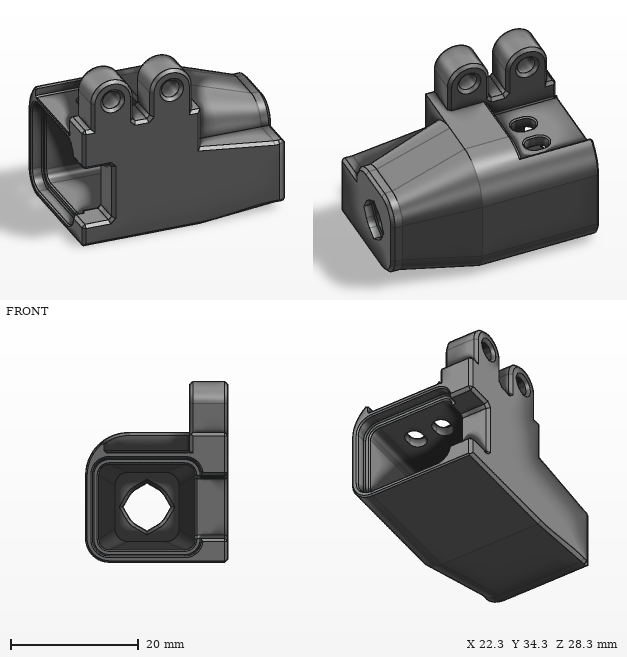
import cadquery as cq
import math


LENGTH = 34.3
LEFT_X = -9.6
RIGHT_X = 12.65
BOTTOM_Z = -8.65
TOP_Z = 11.65
TOP_RADIUS = 6.75
BOTTOM_RADIUS = 3.75
EDGE_CHAMFER = 0.5
FINE_CHAMFER = 0.25

TAPER_START_Y = 20.0
TAPER_END_Y = 32.5
TAIL_HALF_WIDTH = 7.0
TAIL_HALF_HEIGHT = 7.4
TAIL_RADIUS = 4.0

BORE_HALF_WIDTH = 7.55
BORE_HALF_HEIGHT = 6.7
BORE_RADIUS = 1.68
MOUTH_MARGIN = 1.0
MOUTH_DEPTH = 2.0
FUNNEL_HALF_WIDTH = 5.0
FUNNEL_HALF_HEIGHT = 5.42
FUNNEL_RADIUS = 2.05
HOLE_RADIUS = 3.25
HOLE_POINT_ANGLE = 120

SLOT_HALF_HEIGHT = 4.9
SLOT_DEPTH = 5.0

POCKET_LEFT_X = -6.7
POCKET_BACK_Y = 12.0
POCKET_FLOOR_Z = 8.58
POCKET_RIM_CHAMFER = 0.48
POCKET_FRONT_CHAMFER = 0.15
WINDOW_X = 2.5
WINDOW_Y = 7.5
WINDOW_DIAMETER = 3.0
WINDOW_LENGTH = 4.0

LUG_LEFT_X = 6.65
LUG_AXIS_Z = 16.15
LUG_RADIUS = 3.5
LUG_FRONT_Y = 5.0
LUG_BACK_Y = 15.0
LUG_HOLE_DIAMETER = 3.0

ABOVE_TOP_Z = TOP_Z + 0.35
TOLERANCE = 0.005


def near(a, b):
    return abs(a - b) < TOLERANCE


def chamfer_edges(body, size, picked):
    """Chamfer every edge whose bounding box satisfies picked."""
    edges = [edge for edge in body.edges().vals() if picked(edge.BoundingBox())]
    return body.newObject(edges).chamfer(size)


def section(y):
    """Workplane across the bore at depth y: local x = +X, local y = +Z."""
    return cq.Workplane("XZ", origin=(0, y, 0))


def box(x0, x1, y0, y1, z0, z1):
    return cq.Workplane("XY", origin=(x0, y0, z0)).box(x1 - x0, y1 - y0, z1 - z0, centered=False)


def rounded_outline(plane, left, right, bottom, top, top_radius, bottom_radius):
    """Rectangle with one radius for its upper corners and one for its lower corners."""
    arc_inset = 1 - math.sqrt(0.5)
    top_inset = arc_inset * top_radius
    bottom_inset = arc_inset * bottom_radius
    return (
        plane.moveTo(left + top_radius, top)
        .lineTo(right - top_radius, top)
        .threePointArc((right - top_inset, top - top_inset), (right, top - top_radius))
        .lineTo(right, bottom + bottom_radius)
        .threePointArc((right - bottom_inset, bottom + bottom_inset), (right - bottom_radius, bottom))
        .lineTo(left + bottom_radius, bottom)
        .threePointArc((left + bottom_inset, bottom + bottom_inset), (left, bottom + bottom_radius))
        .lineTo(left, top - top_radius)
        .threePointArc((left + top_inset, top - top_inset), (left + top_radius, top))
        .close()
    )


def centred_outline(y, half_width, half_height, radius):
    return rounded_outline(
        section(y), -half_width, half_width, -half_height, half_height, radius, radius
    )


def shell_outline(y):
    return rounded_outline(
        section(y), LEFT_X, -LEFT_X, BOTTOM_Z, TOP_Z, TOP_RADIUS, BOTTOM_RADIUS
    )


def ruled_loft(first, second):
    wires = [first.wires().val(), second.wires().val()]
    return cq.Workplane(cq.Solid.makeLoft(wires, True))


def make_front():
    """Prism with a rounded left side and a square right side."""
    shell = shell_outline(0).extrude(-TAPER_START_Y)
    return shell.union(box(0, RIGHT_X, 0, TAPER_START_Y, BOTTOM_Z, TOP_Z)).clean()


def make_tail():
    """Tapered rounded body with a lower, flat-sided block along its +X side."""

    def tail_outline():
        return centred_outline(TAPER_END_Y, TAIL_HALF_WIDTH, TAIL_HALF_HEIGHT, TAIL_RADIUS)

    def block_outline(y, bottom, top):
        corners = [(0, bottom), (RIGHT_X, bottom), (RIGHT_X, top), (0, top)]
        return section(y).polyline(corners).close()

    tail_block = (-TAIL_HALF_HEIGHT, TAIL_HALF_HEIGHT - TAIL_RADIUS)
    flange_length = LENGTH - TAPER_END_Y
    taper = ruled_loft(shell_outline(TAPER_START_Y), tail_outline())
    block_taper = ruled_loft(
        block_outline(TAPER_START_Y, BOTTOM_Z, TOP_Z - TOP_RADIUS),
        block_outline(TAPER_END_Y, *tail_block),
    )
    block_flange = block_outline(TAPER_END_Y, *tail_block).extrude(-flange_length)
    flange = tail_outline().extrude(-flange_length).union(block_flange)
    flange = flange.faces(">Y").chamfer(EDGE_CHAMFER)
    return taper.union(block_taper).union(flange)


def is_pocket_rim(b):
    """Upper rim along the pocket's back wall and left wall."""
    on_back_wall = near(b.ymin, POCKET_BACK_Y) and b.zmin > POCKET_FLOOR_Z + EDGE_CHAMFER
    on_left_wall = near(b.xmax, POCKET_LEFT_X) and near(b.xmin, POCKET_LEFT_X)
    left_top = on_left_wall and near(b.zmin, b.zmax) and b.zmin > POCKET_FLOOR_Z + EDGE_CHAMFER
    return (on_back_wall and near(b.ymax, POCKET_BACK_Y)) or left_top


def cut_pocket(body):
    """Sink the top pocket, with a coved floor and bevelled rims."""
    cavity = (
        box(POCKET_LEFT_X, LUG_LEFT_X, 0, POCKET_BACK_Y, POCKET_FLOOR_Z, ABOVE_TOP_Z)
        .faces("<Z")
        .edges("not <Y")
        .chamfer(FINE_CHAMFER)
    )
    bevel_relief = box(
        LUG_LEFT_X, LUG_LEFT_X + EDGE_CHAMFER, 0, POCKET_BACK_Y, POCKET_FLOOR_Z, ABOVE_TOP_Z
    )
    body = body.cut(cavity.union(bevel_relief))
    return chamfer_edges(body, POCKET_RIM_CHAMFER, is_pocket_rim)


def make_corner_cove():
    """Upright cove between the pocket's back wall and the lug rail, sloped to meet the back rim."""
    front_y = POCKET_BACK_Y - FINE_CHAMFER
    left_x = LUG_LEFT_X - FINE_CHAMFER
    rim_z = TOP_Z - POCKET_RIM_CHAMFER
    upright = (
        cq.Workplane("XY", origin=(0, 0, POCKET_FLOOR_Z))
        .polyline([(LUG_LEFT_X, POCKET_BACK_Y), (left_x, POCKET_BACK_Y), (LUG_LEFT_X, front_y)])
        .close()
        .extrude(rim_z - POCKET_FLOOR_Z)
    )
    above_slope = (
        cq.Workplane("YZ", origin=(left_x, 0, 0))
        .polyline([(POCKET_BACK_Y, rim_z), (front_y, rim_z), (front_y, rim_z - FINE_CHAMFER)])
        .close()
        .extrude(FINE_CHAMFER)
    )
    return upright.cut(above_slope)


def make_lugs():
    """Both lugs and the rail that carries them, bevelled along the left face."""
    front_start_y = LUG_FRONT_Y - LUG_RADIUS
    gap_start_y = LUG_FRONT_Y + LUG_RADIUS
    gap_end_y = LUG_BACK_Y - LUG_RADIUS
    back_end_y = LUG_BACK_Y + LUG_RADIUS
    crown_z = LUG_AXIS_Z + LUG_RADIUS
    gusset_z = TOP_Z + EDGE_CHAMFER
    rail = (
        cq.Workplane("YZ", origin=(LUG_LEFT_X, 0, 0))
        .moveTo(0, POCKET_FLOOR_Z)
        .lineTo(0, TOP_Z)
        .lineTo(front_start_y, TOP_Z)
        .lineTo(front_start_y, LUG_AXIS_Z)
        .threePointArc((LUG_FRONT_Y, crown_z), (gap_start_y, LUG_AXIS_Z))
        .lineTo(gap_start_y, gusset_z)
        .lineTo(gap_start_y + EDGE_CHAMFER, TOP_Z)
        .lineTo(gap_end_y - EDGE_CHAMFER, TOP_Z)
        .lineTo(gap_end_y, gusset_z)
        .lineTo(gap_end_y, LUG_AXIS_Z)
        .threePointArc((LUG_BACK_Y, crown_z), (back_end_y, LUG_AXIS_Z))
        .lineTo(back_end_y, POCKET_FLOOR_Z)
        .close()
        .extrude(RIGHT_X - LUG_LEFT_X)
    )
    return rail.faces("<X").edges("not <Z").chamfer(EDGE_CHAMFER)


def drill_lugs(body):
    """Cross holes through both lugs, countersunk at both ends."""
    radius = LUG_HOLE_DIAMETER / 2
    hole = cq.Workplane("YZ", origin=(LUG_LEFT_X, 0, 0)).circle(radius).extrude(RIGHT_X - LUG_LEFT_X)
    for end_x, inward in ((LUG_LEFT_X, 1), (RIGHT_X, -1)):
        countersink = cq.Solid.makeCone(
            radius + EDGE_CHAMFER,
            radius,
            EDGE_CHAMFER,
            cq.Vector(end_x, 0, 0),
            cq.Vector(inward, 0, 0),
        )
        hole = hole.union(cq.Workplane(countersink))
    for y in (LUG_FRONT_Y, LUG_BACK_Y):
        body = body.cut(hole.translate((0, y, LUG_AXIS_Z)))
    return body


def slot_outline(x):
    """Outline of the side slot at X = x, open at the front, with bevelled back corners."""
    corner_y = SLOT_DEPTH - EDGE_CHAMFER
    corner_z = SLOT_HALF_HEIGHT - EDGE_CHAMFER
    corners = [
        (0, SLOT_HALF_HEIGHT),
        (corner_y, SLOT_HALF_HEIGHT),
        (SLOT_DEPTH, corner_z),
        (SLOT_DEPTH, -corner_z),
        (corner_y, -SLOT_HALF_HEIGHT),
        (0, -SLOT_HALF_HEIGHT),
    ]
    return cq.Workplane("YZ", origin=(x, 0, 0)).polyline(corners).close()


def cut_side_slot(body):
    return body.cut(slot_outline(BORE_HALF_WIDTH).extrude(RIGHT_X - BORE_HALF_WIDTH))


def cut_slot_lip(body):
    """Bevel the rim where the side slot breaks into the bore."""
    lip = ruled_loft(
        slot_outline(BORE_HALF_WIDTH).offset2D(FINE_CHAMFER, "intersection"),
        slot_outline(BORE_HALF_WIDTH + FINE_CHAMFER),
    )
    return body.cut(lip)


def is_right_bevel(b):
    """Outline of the +X end, the slot's front rims and the rail's front rim."""
    on_right = near(b.xmin, RIGHT_X)
    front_level = near(b.ymax, 0) and near(b.zmin, b.zmax)
    slot_rim = near(abs(b.zmin), SLOT_HALF_HEIGHT)
    rail_rim = near(b.zmin, TOP_Z) and b.xmin > LUG_LEFT_X
    return on_right or (front_level and (slot_rim or rail_rim))


def is_shell_rim(b):
    """Front rim of the shell, from the pocket's left wall down and along the bottom."""
    left_side = b.xmax < POCKET_LEFT_X + TOLERANCE and not near(b.xmin, POCKET_LEFT_X)
    bottom = near(b.zmin, BOTTOM_Z) and b.xmin < 0
    return near(b.ymax, 0) and (left_side or bottom)


def is_floor_rim(b):
    return near(b.ymax, 0) and near(b.zmin, POCKET_FLOOR_Z) and near(b.zmax, POCKET_FLOOR_Z)


def hole_outline(y, radius):
    """Circle drawn out to a straight-sided point on each of its four sides."""

    def polar(distance, degrees):
        angle = math.radians(degrees)
        return (distance * math.cos(angle), distance * math.sin(angle))

    tangent_angle = 90 - HOLE_POINT_ANGLE / 2
    tip = radius / math.cos(math.radians(tangent_angle))
    outline = section(y).moveTo(*polar(tip, 0))
    for start in (0, 90, 180, 270):
        outline = (
            outline.lineTo(*polar(radius, start + tangent_angle))
            .threePointArc(polar(radius, start + 45), polar(radius, start + 90 - tangent_angle))
            .lineTo(*polar(tip, start + 90))
        )
    return outline.close()


def cut_bore(body):
    """Recessed mouth, straight bore, funnel and four-pointed tail hole."""

    def bore_outline(y, growth):
        return centred_outline(
            y, BORE_HALF_WIDTH + growth, BORE_HALF_HEIGHT + growth, BORE_RADIUS + growth
        )

    recess = bore_outline(0, MOUTH_MARGIN).extrude(-MOUTH_DEPTH).faces(">Y").chamfer(FINE_CHAMFER)
    recess_lip = ruled_loft(
        bore_outline(0, MOUTH_MARGIN + FINE_CHAMFER), bore_outline(FINE_CHAMFER, MOUTH_MARGIN)
    )
    bore = bore_outline(0, 0).extrude(-TAPER_START_Y)
    bore_lip = ruled_loft(
        bore_outline(MOUTH_DEPTH, FINE_CHAMFER), bore_outline(MOUTH_DEPTH + FINE_CHAMFER, 0)
    )
    funnel = ruled_loft(
        bore_outline(TAPER_START_Y, 0),
        centred_outline(TAPER_END_Y, FUNNEL_HALF_WIDTH, FUNNEL_HALF_HEIGHT, FUNNEL_RADIUS),
    )
    hole = hole_outline(TAPER_END_Y, HOLE_RADIUS).extrude(TAPER_END_Y - LENGTH)
    hole_lip = ruled_loft(
        hole_outline(TAPER_END_Y, HOLE_RADIUS + EDGE_CHAMFER),
        hole_outline(TAPER_END_Y + EDGE_CHAMFER, HOLE_RADIUS),
    )
    for cutter in (recess, recess_lip, bore, bore_lip, funnel, hole, hole_lip):
        body = body.cut(cutter)
    return body


def cut_windows(body):
    """Two oblong openings, bevelled at the top, from the pocket floor into the bore."""
    lip_growth = 2 * FINE_CHAMFER
    for x in (-WINDOW_X, WINDOW_X):
        floor = cq.Workplane("XY", origin=(x, WINDOW_Y, POCKET_FLOOR_Z))
        window = floor.slot2D(WINDOW_LENGTH, WINDOW_DIAMETER, 90).extrude(-POCKET_FLOOR_Z)
        lip = floor.slot2D(WINDOW_LENGTH + lip_growth, WINDOW_DIAMETER + lip_growth, 90).extrude(
            -FINE_CHAMFER, taper=45
        )
        body = body.cut(window).cut(lip)
    return body


result = make_front().union(make_tail())
result = cut_pocket(result)
result = result.union(make_lugs()).union(make_corner_cove())
result = cut_side_slot(result)
result = chamfer_edges(result, EDGE_CHAMFER, is_right_bevel)
result = chamfer_edges(result, FINE_CHAMFER, is_shell_rim)
result = chamfer_edges(result, POCKET_FRONT_CHAMFER, is_floor_rim)
result = cut_bore(result)
result = cut_slot_lip(result)
result = cut_windows(result)
result = drill_lugs(result)